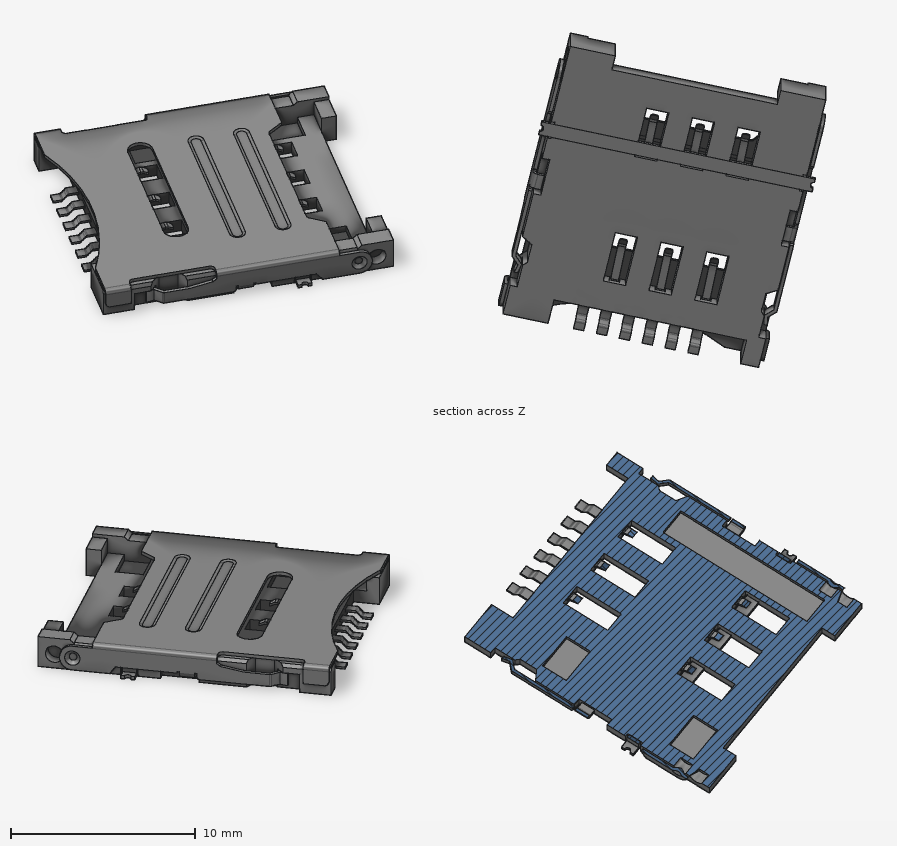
import cadquery as cq
import math


HEIGHT = 1.8
SHEET = 0.2
BACK_Y = 8.15
FRONT_Y = -8.15
FAR = 9.78

HOUSING_HALF_X = 7.1
RAIL_INNER_X = 6.11
RAIL_TOP_Z = HEIGHT - SHEET
FLOOR_Z = 0.73
FLOOR_BACK_Y = 7.3
FLOOR_FRONT_Y = -6.72
POST_INNER_X = 4.6
BLOCK_BACK_Y = -7.45
RAMP_TOP_Y = 6.37
RAMP_RUN = 0.23
RAMP_FOOT_Y = RAMP_TOP_Y - RAMP_RUN
RAIL_CHAMFER_X = 0.13
RAIL_CHAMFER_Z = 0.2

FLOOR_POCKET_Z = 0.36
FLOOR_POCKETS = [
    (-RAIL_INNER_X, -4.48, -3.2, RAMP_TOP_Y),
    (3.9, RAIL_INNER_X, 4.81, RAMP_TOP_Y),
    (3.9, RAIL_INNER_X, -3.65, -2.09),
]

HINGE_Y = 6.18
HINGE_Z = 0.83
SLIDE = 1.06
SEAT_R = 0.49
SEAT_DEPTH = 0.65
RIDGE_FOOT_Y = 7.03
RIDGE_TOP_Y = 6.83

NOTCH_FLOOR_X = 6.5
NOTCH_DEPTH = HOUSING_HALF_X - NOTCH_FLOOR_X
NOTCH_BACK_Y = -3.44
NOTCH_BACK_RUN = 0.36
NOTCH_FRONT_Y = -4.87
LATCH_POCKET_X = 6.72
LATCH_POCKET_FRONT_Y = -6.4
LATCH_POCKET_Z = 1.08

HOOK_POCKET_X = 6.68
HOOK_POCKET_FRONT_Y = -0.82
HOOK_POCKET_BACK_Y = 1.34
HOOK_POCKET_Z = 0.7

COVER_HALF_X = 7.37
COVER_INNER_X = COVER_HALF_X - SHEET
COVER_BEND_R = 0.26
COVER_BEND_Z = HEIGHT - COVER_BEND_R
COVER_FRONT_Y = -8.08
COVER_BACK_Y = 5.07
BACK_NOTCH_Y = 4.15
BACK_NOTCH_OUTER_X = 4.58
BACK_NOTCH_INNER_X = 3.93
BACK_NOTCH_R = 0.26
FINGER_HALF_X = 5.2
FINGER_APEX_Y = -6.85

LOBE_R = 0.72
WALL_LOW_Z = HINGE_Z - LOBE_R
WALL_MID_Z = 0.55
WALL_FOOT_Z = 0.3
WALL_STEP_FRONT_Y = -0.82
WALL_STEP_BACK_Y = -0.68
WALL_RAMP_TOP_Y = 3.77
WALL_RAMP_FOOT_Y = 4.09
TAB_Z = 0.67
TAB_R = 0.26

DIMPLE_R = 0.42
DIMPLE_FLOOR_R = 0.21
BUMP_R = 0.47
BUMP_TIP_R = 0.3

GROOVE_HALF_X = 4.66
GROOVE_HALF_Y = 0.44
GROOVE_SLOPE = 0.16
GROOVE_DEPTH = 0.07
GROOVE_YS = [2.72, 0.16]

WINDOW_X = (-4.89, 3.73)
WINDOW_Y = (-3.67, -2.28)

OPENING_BACK_Y = -1.85
OPENING_FRONT_Y = -6.65
OPENING_INNER_X = 6.72
OPENING_R = 0.26
LATCH_TOP_Z = 1.01
LATCH_SLOPE_BACK = (-2.07, 1.2)
LATCH_SLOPE_FRONT = (-3.37, LATCH_TOP_Z)
LATCH_ROOT_Z = 1.37
LATCH_BEND_Y = -4.76
LATCH_LEAN = 0.42
LATCH_FLARE = 0.1
LATCH_END_Y = -5.72
LATCH_BEND_R = 0.13
LATCH_BEND_ANGLE = 45.0

HOOK_FRONT_Y = -0.62
HOOK_BACK_Y = 0.23
HOOK_END_X = 6.72
HOOK_BEND_R = 0.28
RELIEF_WIDTH = 0.13
RELIEF_TOP_Z = 0.64

EAR_SPAN = 15.2
EAR_HALF_X = EAR_SPAN / 2
EAR_FRONT_Y = 2.65
EAR_BACK_Y = 3.44
EAR_NOTCH_R = 0.18
UPRIGHT_TOP_Z = 0.98
STRAP_SLOT_Y = (2.58, 3.55)

CONTACT_PITCH = 2.55
CONTACT_XS = [-3.45 + i * CONTACT_PITCH for i in range(3)]
CONTACT_T = 0.13
LEAD_WIDTH = 0.57
ARM_WIDTH = 0.44
ARM_TIP_R = 0.15
LEAD_Z = 0.33
CREST_Z = 1.08
TIP_DROP = 0.16
REAR_TIP_Y = 4.84
FRONT_TIP_Y = -2.74
CREST_BACK = 0.33
CREST_FRONT = 0.47
ARM_ROOT = 2.2
JOG_Y = (1.47, 2.04)
TAIL_DROP_Y = -7.3
TAIL_FOOT_Y = -7.63
TAIL_BEND_R = 0.1

HOLE_HALF_X = 0.62
HOLE_BEHIND_TIP = 0.65
HOLE_AHEAD_OF_TIP = 2.28


def block(x, y, z):
    """Box from three (low, high) ranges."""
    size = (x[1] - x[0], y[1] - y[0], z[1] - z[0])
    return cq.Workplane("XY").box(*size, centered=False).translate((x[0], y[0], z[0]))


def prism_x(points, x0, x1):
    """Extrude a closed (y, z) outline along X."""
    return cq.Workplane("YZ").workplane(offset=x0).polyline(points).close().extrude(x1 - x0)


def prism_z(points, z0, z1):
    """Extrude a closed (x, y) outline along Z."""
    return cq.Workplane("XY").workplane(offset=z0).polyline(points).close().extrude(z1 - z0)


def cone_x(x0, r0, x1, r1):
    """Cone along X about the hinge axis, from radius r0 at x0 to r1 at x1."""
    start = cq.Vector(x0, HINGE_Y, HINGE_Z)
    direction = cq.Vector(x1 - x0, 0, 0)
    return cq.Workplane(cq.Solid.makeCone(r0, r1, abs(x1 - x0), start, direction))


def cut_both(body, shape):
    return body.cut(shape).cut(shape.mirror("YZ"))


def union_both(body, shape):
    return body.union(shape).union(shape.mirror("YZ"))


def lead_and_tail(x, back_y):
    """Straight lead through the floor, ending in a tail stepped down to the board."""
    upper = LEAD_Z + CONTACT_T
    outline = [
        (back_y, LEAD_Z),
        (back_y, upper),
        (TAIL_DROP_Y, upper),
        (TAIL_FOOT_Y, CONTACT_T),
        (FRONT_Y, CONTACT_T),
        (FRONT_Y, 0),
        (TAIL_FOOT_Y - CONTACT_T / 2, 0),
        (TAIL_DROP_Y - CONTACT_T / 2, LEAD_Z),
    ]
    lead = prism_x(outline, x - LEAD_WIDTH / 2, x + LEAD_WIDTH / 2)
    step_front = (x - LEAD_WIDTH, (FRONT_Y + TAIL_FOOT_Y) / 2, -FAR)
    step_back = (x + LEAD_WIDTH, (TAIL_DROP_Y + FLOOR_FRONT_Y) / 2, FAR)
    bends = cq.selectors.BoxSelector(step_front, step_back)
    return lead.edges("|X").edges(bends).fillet(TAIL_BEND_R)


def spring_arm(x, tip_y):
    """Arm rising to a crest and dropping to a round tip."""
    root_y = tip_y - ARM_ROOT
    top = [
        (root_y, LEAD_Z + CONTACT_T),
        (tip_y - CREST_FRONT, CREST_Z),
        (tip_y - CREST_BACK, CREST_Z),
        (tip_y, CREST_Z - TIP_DROP),
    ]
    underside = [(y, z - CONTACT_T) for y, z in reversed(top)]
    arm = prism_x(top + underside, x - ARM_WIDTH / 2, x + ARM_WIDTH / 2)
    plan = block((x - ARM_WIDTH / 2, x + ARM_WIDTH / 2), (root_y, tip_y), (0, HEIGHT))
    return arm.intersect(plan.edges("|Z and >Y").fillet(ARM_TIP_R))


def front_contact(x):
    root_y = FRONT_TIP_Y - ARM_ROOT
    return lead_and_tail(x, root_y).union(spring_arm(x, FRONT_TIP_Y))


def rear_contact(x):
    """The lead jogs sideways so that its tail falls between two front contacts."""
    lead_x = x + CONTACT_PITCH / 2
    half = LEAD_WIDTH / 2
    thickness = (LEAD_Z, LEAD_Z + CONTACT_T)
    root_y = REAR_TIP_Y - ARM_ROOT
    jog = block((x - half, lead_x + half), JOG_Y, thickness)
    stub = block((x - half, x + half), (JOG_Y[0], root_y), thickness)
    arm = spring_arm(x, REAR_TIP_Y)
    return lead_and_tail(lead_x, JOG_Y[1]).union(jog).union(stub).union(arm)


def make_solder_strap():
    strap = block((-EAR_HALF_X, EAR_HALF_X), (EAR_FRONT_Y, EAR_BACK_Y), (0, SHEET))
    upright = block(
        (HOUSING_HALF_X - SHEET, HOUSING_HALF_X), (EAR_FRONT_Y, EAR_BACK_Y), (0, UPRIGHT_TOP_Z)
    )
    ear_notch = (
        cq.Workplane("XY")
        .center(EAR_HALF_X, (EAR_FRONT_Y + EAR_BACK_Y) / 2)
        .circle(EAR_NOTCH_R)
        .extrude(SHEET)
    )
    return cut_both(union_both(strap, upright), ear_notch)


def housing_walls():
    floor = block((-HOUSING_HALF_X, HOUSING_HALF_X), (FLOOR_FRONT_Y, FLOOR_BACK_Y), (0, FLOOR_Z))
    rail_side = [
        (FRONT_Y, 0),
        (BACK_Y, 0),
        (BACK_Y, HEIGHT),
        (RAMP_TOP_Y, HEIGHT),
        (RAMP_FOOT_Y, RAIL_TOP_Z),
        (FRONT_Y, RAIL_TOP_Z),
    ]
    rail = prism_x(rail_side, RAIL_INNER_X, HOUSING_HALF_X)
    post = block((POST_INNER_X, RAIL_INNER_X), (FLOOR_BACK_Y, BACK_Y), (0, RAIL_TOP_Z))
    walls = union_both(union_both(floor, rail), post)

    front_block_x = (POST_INNER_X, RAIL_INNER_X)
    ledge = block(front_block_x, (FRONT_Y, FLOOR_FRONT_Y), (0, FLOOR_Z))
    front_block = block(front_block_x, (FRONT_Y, BLOCK_BACK_Y), (0, RAIL_TOP_Z))
    return walls.union(ledge).union(front_block)


def rail_chamfer():
    chamfer = [
        (HOUSING_HALF_X, RAIL_TOP_Z - RAIL_CHAMFER_Z),
        (HOUSING_HALF_X, HEIGHT),
        (HOUSING_HALF_X - RAIL_CHAMFER_X, HEIGHT),
        (HOUSING_HALF_X - RAIL_CHAMFER_X, RAIL_TOP_Z),
    ]
    length = RAMP_FOOT_Y - FRONT_Y
    return cq.Workplane("XZ", origin=(0, RAMP_FOOT_Y, 0)).polyline(chamfer).close().extrude(length)


def hinge_seat(y):
    return (
        cq.Workplane("YZ", origin=(HOUSING_HALF_X - SEAT_DEPTH, y, HINGE_Z))
        .circle(SEAT_R)
        .extrude(SEAT_DEPTH)
    )


def hinge_seats():
    """Two round seats, with a ridge that slopes up from the open one."""
    seat_floor_x = HOUSING_HALF_X - SEAT_DEPTH
    keep_clear = [
        (seat_floor_x, BACK_Y),
        (HOUSING_HALF_X, BACK_Y),
        (HOUSING_HALF_X, RIDGE_TOP_Y),
        (seat_floor_x, RIDGE_FOOT_Y),
    ]
    open_seat = hinge_seat(HINGE_Y + SLIDE).intersect(prism_z(keep_clear, 0, HEIGHT))
    return hinge_seat(HINGE_Y).union(open_seat)


def latch_notch():
    outline = [
        (HOUSING_HALF_X, NOTCH_BACK_Y),
        (NOTCH_FLOOR_X, NOTCH_BACK_Y - NOTCH_BACK_RUN),
        (NOTCH_FLOOR_X, NOTCH_FRONT_Y),
        (HOUSING_HALF_X, NOTCH_FRONT_Y - NOTCH_DEPTH),
    ]
    pocket_back_y = NOTCH_FRONT_Y - (LATCH_POCKET_X - NOTCH_FLOOR_X)
    tip_pocket = block(
        (LATCH_POCKET_X, HOUSING_HALF_X), (LATCH_POCKET_FRONT_Y, pocket_back_y), (0, LATCH_POCKET_Z)
    )
    return prism_z(outline, 0, HEIGHT).union(tip_pocket)


def contact_hole(x, tip_y):
    y_range = (tip_y - HOLE_AHEAD_OF_TIP, tip_y + HOLE_BEHIND_TIP)
    return block((x - HOLE_HALF_X, x + HOLE_HALF_X), y_range, (0, FLOOR_Z))


def make_housing(inserts):
    body = housing_walls()
    hook_pocket = block(
        (HOOK_POCKET_X, HOUSING_HALF_X), (HOOK_POCKET_FRONT_Y, HOOK_POCKET_BACK_Y), (0, HOOK_POCKET_Z)
    )
    strap_slot = block((HOUSING_HALF_X - SHEET, HOUSING_HALF_X), STRAP_SLOT_Y, (0, UPRIGHT_TOP_Z))
    for side_cut in [rail_chamfer(), hinge_seats(), latch_notch(), hook_pocket, strap_slot]:
        body = cut_both(body, side_cut)
    for x0, x1, y0, y1 in FLOOR_POCKETS:
        body = body.cut(block((x0, x1), (y0, y1), (FLOOR_POCKET_Z, FLOOR_Z)))
    for x in CONTACT_XS:
        body = body.cut(contact_hole(x, REAR_TIP_Y)).cut(contact_hole(x, FRONT_TIP_Y))
    for insert in inserts:
        body = body.cut(insert)
    return body


def channel():
    """Inverted U sheet with rounded bends, before its outlines are trimmed."""
    length = HINGE_Y + LOBE_R - COVER_FRONT_Y
    blank = cq.Workplane("XY").box(2 * COVER_HALF_X, length, HEIGHT, centered=(True, False, False))
    outer = blank.edges("|Y and >Z").fillet(COVER_BEND_R)
    core = cq.Workplane("XY").box(2 * COVER_INNER_X, length, RAIL_TOP_Z, centered=(True, False, False))
    inner = core.edges("|Y and >Z").fillet(COVER_BEND_R - SHEET)
    return outer.cut(inner).translate((0, COVER_FRONT_Y, 0))


def side_outline():
    """Side wall outline with the round hinge lobe at the back and the tab at the front."""
    return (
        cq.Workplane("YZ")
        .workplane(offset=-FAR)
        .moveTo(COVER_BACK_Y, HEIGHT)
        .lineTo(COVER_FRONT_Y, HEIGHT)
        .lineTo(COVER_FRONT_Y, TAB_Z + TAB_R)
        .radiusArc((COVER_FRONT_Y + TAB_R, TAB_Z), -TAB_R)
        .lineTo(OPENING_FRONT_Y, TAB_Z)
        .lineTo(OPENING_FRONT_Y, WALL_FOOT_Z)
        .lineTo(WALL_STEP_FRONT_Y, WALL_FOOT_Z)
        .lineTo(WALL_STEP_BACK_Y, WALL_MID_Z)
        .lineTo(WALL_RAMP_TOP_Y, WALL_MID_Z)
        .lineTo(WALL_RAMP_FOOT_Y, WALL_LOW_Z)
        .lineTo(HINGE_Y, WALL_LOW_Z)
        .threePointArc((HINGE_Y + LOBE_R, HINGE_Z), (HINGE_Y, HINGE_Z + LOBE_R))
        .lineTo(COVER_BACK_Y, HINGE_Z + LOBE_R)
        .close()
        .extrude(2 * FAR)
    )


def back_notch():
    outline = [
        (-BACK_NOTCH_OUTER_X, COVER_BACK_Y),
        (-BACK_NOTCH_INNER_X, BACK_NOTCH_Y),
        (BACK_NOTCH_INNER_X, BACK_NOTCH_Y),
        (BACK_NOTCH_OUTER_X, COVER_BACK_Y),
    ]
    return prism_z(outline, COVER_BEND_Z, HEIGHT).edges("|Z and <Y").fillet(BACK_NOTCH_R)


def finger_cutout():
    return (
        cq.Workplane("XY", origin=(0, 0, COVER_BEND_Z))
        .moveTo(-FINGER_HALF_X, COVER_FRONT_Y)
        .threePointArc((0, FINGER_APEX_Y), (FINGER_HALF_X, COVER_FRONT_Y))
        .close()
        .extrude(COVER_BEND_R)
    )


def window():
    width = WINDOW_Y[1] - WINDOW_Y[0]
    return (
        cq.Workplane("XY", origin=(0, 0, COVER_BEND_Z))
        .center(sum(WINDOW_X) / 2, sum(WINDOW_Y) / 2)
        .slot2D(WINDOW_X[1] - WINDOW_X[0], width)
        .extrude(COVER_BEND_R)
    )


def groove(y, top_z):
    """Stadium-shaped dish with sloping walls, open at top_z."""
    taper = math.degrees(math.atan(GROOVE_SLOPE / GROOVE_DEPTH))
    return (
        cq.Workplane("XY", origin=(0, y, top_z))
        .slot2D(2 * GROOVE_HALF_X, 2 * GROOVE_HALF_Y)
        .extrude(-GROOVE_DEPTH, taper=taper)
    )


def top_opening():
    """Opening in the top sheet above the latch arm."""
    y_range = (OPENING_FRONT_Y, OPENING_BACK_Y)
    opening = block((OPENING_INNER_X, FAR), y_range, (LATCH_ROOT_Z, HEIGHT))
    return opening.edges("|Z and <X").fillet(OPENING_R)


def side_opening():
    """Clears the side wall above and ahead of the latch arm."""
    outline = [
        (OPENING_BACK_Y, HEIGHT),
        (OPENING_BACK_Y, LATCH_ROOT_Z),
        LATCH_SLOPE_BACK,
        LATCH_SLOPE_FRONT,
        (LATCH_BEND_Y, LATCH_TOP_Z),
        (LATCH_BEND_Y, 0),
        (OPENING_FRONT_Y, 0),
        (OPENING_FRONT_Y, HEIGHT),
    ]
    return prism_x(outline, COVER_HALF_X - COVER_BEND_R, FAR)


def latch_tip():
    """Free end of the latch arm: bends inward, then a little outward."""
    bend_slack = SHEET * math.tan(math.radians(LATCH_BEND_ANGLE / 2))
    outer_bend_y = LATCH_BEND_Y - bend_slack
    valley_x = COVER_HALF_X - LATCH_LEAN
    valley_y = outer_bend_y - LATCH_LEAN / math.tan(math.radians(LATCH_BEND_ANGLE))
    outline = [
        (COVER_INNER_X, LATCH_BEND_Y),
        (COVER_HALF_X, LATCH_BEND_Y),
        (COVER_HALF_X, outer_bend_y),
        (valley_x, valley_y),
        (valley_x + LATCH_FLARE, LATCH_END_Y),
        (valley_x + LATCH_FLARE - SHEET, LATCH_END_Y),
        (valley_x - SHEET, valley_y + bend_slack),
    ]
    tip = prism_z(outline, WALL_FOOT_Z, LATCH_TOP_Z)
    bend = cq.selectors.NearestToPointSelector((COVER_HALF_X, outer_bend_y, LATCH_TOP_Z / 2))
    return tip.edges("|Z").edges(bend).fillet(LATCH_BEND_R)


def hook():
    """Tongue rolled inward under the housing from the edge of the side wall."""
    bend_x = COVER_HALF_X - HOOK_BEND_R
    inner_r = HOOK_BEND_R - SHEET
    low_z = WALL_MID_Z - HOOK_BEND_R
    return (
        cq.Workplane("XZ", origin=(0, HOOK_BACK_Y, 0))
        .moveTo(COVER_HALF_X, WALL_MID_Z)
        .radiusArc((bend_x, low_z), HOOK_BEND_R)
        .lineTo(HOOK_END_X, low_z)
        .lineTo(HOOK_END_X, low_z + SHEET)
        .lineTo(bend_x, low_z + SHEET)
        .radiusArc((COVER_INNER_X, WALL_MID_Z), -inner_r)
        .close()
        .extrude(HOOK_BACK_Y - HOOK_FRONT_Y)
    )


def hook_relief(y):
    return block((COVER_INNER_X, FAR), (y, y + RELIEF_WIDTH), (WALL_FOOT_Z, RELIEF_TOP_Z))


def make_cover():
    body = channel().intersect(side_outline())
    for cutter in [back_notch(), finger_cutout(), window()]:
        body = body.cut(cutter)
    for y in GROOVE_YS:
        body = body.union(groove(y, RAIL_TOP_Z)).cut(groove(y, HEIGHT))
    reliefs = [hook_relief(HOOK_BACK_Y), hook_relief(HOOK_FRONT_Y - RELIEF_WIDTH)]
    for cutter in [top_opening(), side_opening(), *reliefs]:
        body = cut_both(body, cutter)
    bump = cone_x(COVER_INNER_X, BUMP_R, COVER_INNER_X - SHEET, BUMP_TIP_R)
    dimple = cone_x(COVER_HALF_X, DIMPLE_R, COVER_INNER_X, DIMPLE_FLOOR_R)
    for feature in [latch_tip(), hook(), bump]:
        body = union_both(body, feature)
    return cut_both(body, dimple)


contacts = []
for contact_x in CONTACT_XS:
    contacts.append(front_contact(contact_x))
    contacts.append(rear_contact(contact_x))

solder_strap = make_solder_strap()
housing = make_housing([*contacts, solder_strap])
cover = make_cover()

result = cq.Compound.makeCompound(
    [housing.val(), cover.val(), solder_strap.val(), *[contact.val() for contact in contacts]]
)